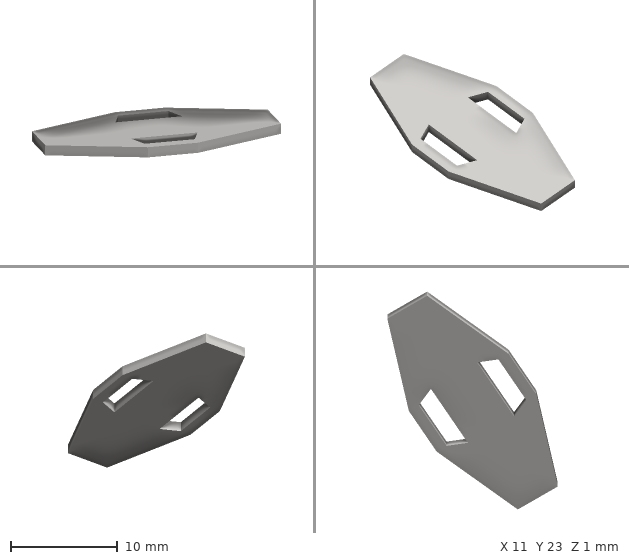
import cadquery as cq

plate_width = 11.0
plate_length = 23.0
plate_thickness = 1.0
end_edge_width = 4.4
side_edge_length = 4.9

rim_width = 1.1
slot_inner_x = 2.55
slot_outer_x = plate_width / 2 - rim_width
slot_inner_length = 6.5
slot_outer_length = side_edge_length


def make_plate():
    half_width = plate_width / 2
    half_length = plate_length / 2
    half_end = end_edge_width / 2
    half_side = side_edge_length / 2
    outline = [
        (half_width, -half_side),
        (half_width, half_side),
        (half_end, half_length),
        (-half_end, half_length),
        (-half_width, half_side),
        (-half_width, -half_side),
        (-half_end, -half_length),
        (half_end, -half_length),
    ]
    return cq.Workplane("XY").polyline(outline).close().extrude(plate_thickness)


def make_slot(side):
    """Slot cutter on the +X (side = 1) or -X (side = -1) half of the plate."""
    outline = [
        (side * slot_inner_x, -slot_inner_length / 2),
        (side * slot_outer_x, -slot_outer_length / 2),
        (side * slot_outer_x, slot_outer_length / 2),
        (side * slot_inner_x, slot_inner_length / 2),
    ]
    return cq.Workplane("XY").polyline(outline).close().extrude(plate_thickness)


result = make_plate()
for side in (-1, 1):
    result = result.cut(make_slot(side))